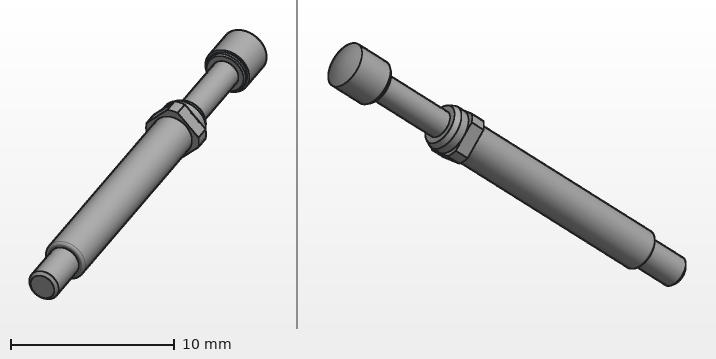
import cadquery as cq


tail_diameter = 2.0
tail_length = 3.0
tail_chamfer = 0.2

barrel_diameter = 2.65
barrel_length = 15.0
barrel_end_fillet = 0.2

flange_across_flats = 3.0
flange_corner_diameter = 3.6
flange_thickness = 1.0

collar_diameter = 2.97
collar_length = 1.0
collar_taper_length = 0.4
collar_end_diameter = 2.6

shaft_diameter = 1.8
shaft_length = 5.3

head_diameter = 3.0
neck_diameter = 2.7
neck_length = 0.3
neck_chamfer = 0.1
head_cylinder_length = 2.4
dome_height = 0.3

barrel_start = tail_length
flange_start = barrel_start + barrel_length
collar_start = flange_start + flange_thickness
shaft_start = collar_start + collar_length
neck_start = shaft_start + shaft_length
head_start = neck_start + neck_length
dome_start = head_start + head_cylinder_length


def cylinder(diameter, start, length):
    """Cylinder about the Y axis, beginning at Y = start."""
    profile = cq.Workplane("XZ", origin=(0, start, 0)).circle(diameter / 2)
    return profile.extrude(-length)


def revolve_about_y(profile):
    """Solid of revolution from a half profile in the XY plane."""
    return profile.revolve(360, (0, 0, 0), (0, 1, 0))


def make_tail():
    return cylinder(tail_diameter, 0, tail_length).faces("<Y").chamfer(tail_chamfer)


def make_barrel():
    barrel = cylinder(barrel_diameter, barrel_start, barrel_length)
    return barrel.faces("<Y").edges().fillet(barrel_end_fillet)


def make_flange():
    square = (
        cq.Workplane("XZ", origin=(0, flange_start, 0))
        .transformed(rotate=(0, 0, 45))
        .rect(flange_across_flats, flange_across_flats)
        .extrude(-flange_thickness)
    )
    return square.intersect(cylinder(flange_corner_diameter, flange_start, flange_thickness))


def make_collar():
    profile = (
        cq.Workplane("XY")
        .moveTo(0, collar_start)
        .lineTo(collar_diameter / 2, collar_start)
        .lineTo(collar_diameter / 2, shaft_start - collar_taper_length)
        .lineTo(collar_end_diameter / 2, shaft_start)
        .lineTo(0, shaft_start)
        .close()
    )
    return revolve_about_y(profile)


def make_shaft():
    return cylinder(shaft_diameter, shaft_start, shaft_length)


def make_head():
    neck = cylinder(neck_diameter, neck_start, neck_length).faces("<Y").chamfer(neck_chamfer)
    radius = head_diameter / 2
    dome_radius = (radius**2 + dome_height**2) / (2 * dome_height)
    profile = (
        cq.Workplane("XY")
        .moveTo(0, head_start)
        .lineTo(radius, head_start)
        .lineTo(radius, dome_start)
        .radiusArc((0, dome_start + dome_height), -dome_radius)
        .close()
    )
    return neck.union(revolve_about_y(profile))


result = (
    make_barrel()
    .union(make_tail())
    .union(make_flange())
    .union(make_collar())
    .union(make_shaft())
    .union(make_head())
)